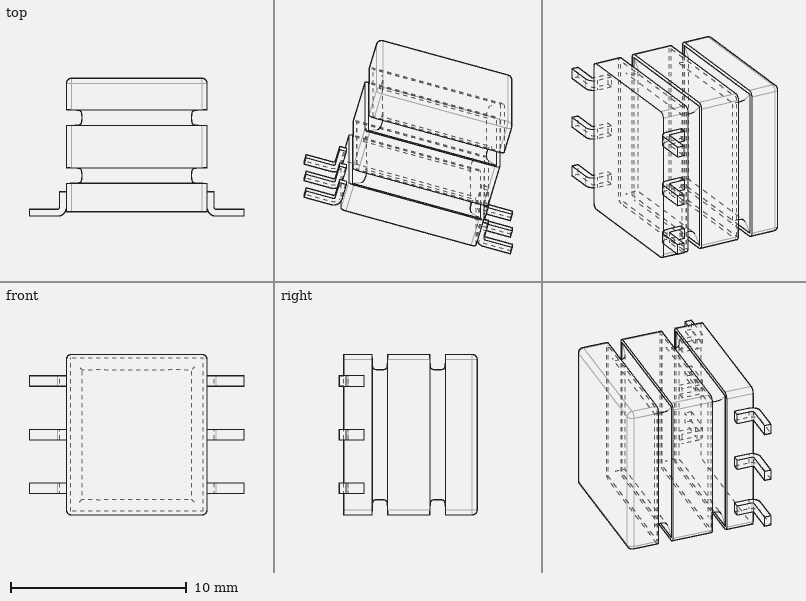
import cadquery as cq

body_width = 8.0
body_height = 9.14
front_plate_depth = 1.62
middle_plate_depth = 2.41
back_plate_depth = 1.81
waist_depth = 0.88
edge_radius = 0.3

waist_inset = 0.9
flare_inset = 0.22
flare_rim_thickness = 0.01
flare_pull = 3

lead_span = 12.2
lead_thickness = 0.4
lead_width = 0.61
lead_upright_length = 1.4
lead_bend_radius = 0.1
lead_pitch = 3.05
leads_per_side = 3
lead_standoff = 0.25

front_plate_y = lead_standoff
front_waist_y = front_plate_y + front_plate_depth
middle_plate_y = front_waist_y + waist_depth
back_waist_y = middle_plate_y + middle_plate_depth
back_plate_y = back_waist_y + waist_depth


def make_plate(y, depth):
    """Plate that runs from y to y + depth, with rounded corners along Y."""
    plane = cq.Workplane("XZ", origin=(0, y, 0))
    return plane.rect(body_width, body_height).extrude(-depth).edges("|Y").fillet(edge_radius)


def waist_side_points(side, rim, core):
    """Control points of one waist side: along a plate, down the core, back out along the other plate."""
    low_y = flare_rim_thickness
    high_y = waist_depth - flare_rim_thickness
    near_corner = [(side * core, low_y)] * flare_pull
    far_corner = [(side * core, high_y)] * flare_pull
    return [(side * rim, low_y)] + near_corner + far_corner + [(side * rim, high_y)]


def make_waist_prism(plane_name, body_size, length):
    """Waist profile flared at both ends, whose local y runs along the stack from 0, as a prism."""
    rim = body_size / 2 - flare_inset
    core = body_size / 2 - waist_inset
    plane = cq.Workplane(plane_name).workplane(offset=-length / 2)
    return (
        plane.moveTo(-rim, 0)
        .lineTo(rim, 0)
        .lineTo(rim, flare_rim_thickness)
        .bezier(waist_side_points(1, rim, core))
        .lineTo(rim, waist_depth)
        .lineTo(-rim, waist_depth)
        .lineTo(-rim, waist_depth - flare_rim_thickness)
        .bezier(list(reversed(waist_side_points(-1, rim, core))))
        .close()
        .extrude(length)
    )


def make_waist(y):
    """Overlap of two crossed prisms, so that all four sides share the flare and meet in mitres."""
    across_x = make_waist_prism("XY", body_width, body_height)
    across_z = make_waist_prism("ZY", body_height, body_width)
    return across_x.intersect(across_z).translate((0, y, 0))


def make_lead(z):
    """Lead on the +X side, centred at height z."""
    root_x = body_width / 2
    inner_x = root_x + lead_thickness
    tip_x = lead_span / 2
    outer_radius = lead_bend_radius + lead_thickness
    profile = (
        cq.Workplane("XY", origin=(0, 0, z - lead_width / 2))
        .moveTo(root_x, lead_upright_length)
        .lineTo(root_x, outer_radius)
        .radiusArc((root_x + outer_radius, 0), -outer_radius)
        .lineTo(tip_x, 0)
        .lineTo(tip_x, lead_thickness)
        .lineTo(inner_x + lead_bend_radius, lead_thickness)
        .radiusArc((inner_x, outer_radius), lead_bend_radius)
        .lineTo(inner_x, lead_upright_length)
        .close()
    )
    return profile.extrude(lead_width)


def make_body():
    """Three plates joined by waists; the back plate has a rounded outer rim."""
    front_plate = make_plate(front_plate_y, front_plate_depth)
    middle_plate = make_plate(middle_plate_y, middle_plate_depth)
    back_plate = make_plate(back_plate_y, back_plate_depth).faces(">Y").edges().fillet(edge_radius)
    body = front_plate.union(middle_plate).union(back_plate)
    for waist_y in (front_waist_y, back_waist_y):
        body = body.union(make_waist(waist_y))
    return body


def make_leads():
    """All leads, in mirrored pairs spaced along Z."""
    leads = cq.Workplane()
    for index in range(leads_per_side):
        lead_z = (index - (leads_per_side - 1) / 2) * lead_pitch
        lead = make_lead(lead_z)
        leads = leads.add(lead).add(lead.mirror("YZ"))
    return leads


result = make_body().union(make_leads())